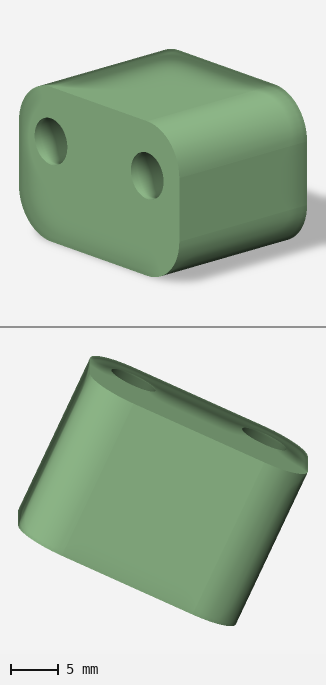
import cadquery as cq

width = 25.0
depth = 17.9
height = 17.0
corner_radius = 5.0

hole_diameter = 5.1
hole_spacing = 15.0
hole_drop = 6.0
hole_z = height / 2 - hole_drop

block = cq.Workplane("XY").box(width, depth, height).edges("|Y").fillet(corner_radius)

result = (
    block.faces("<Y")
    .workplane(origin=(0, -depth / 2, 0))
    .pushPoints([(-hole_spacing / 2, hole_z), (hole_spacing / 2, hole_z)])
    .hole(hole_diameter)
)